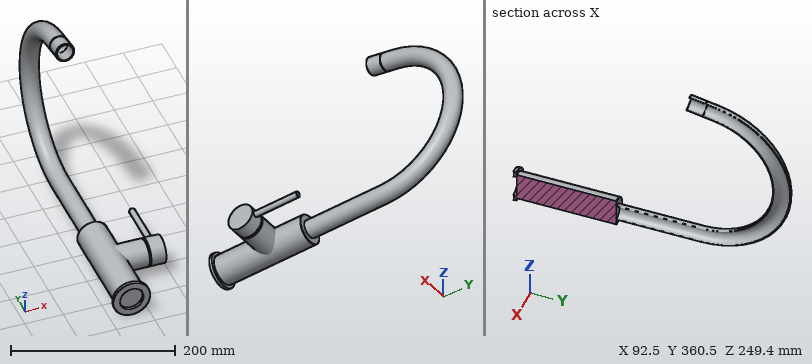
import cadquery as cq
import math


EDGE_CHAMFER = 0.5

FLANGE_DIAMETER = 48.0
FLANGE_THICKNESS = 4.0
RECESS_DIAMETER = 30.5
RECESS_DEPTH = 4.0
BODY_DIAMETER = 40.0
BODY_TOP = 134.0

SPOUT_DIAMETER = 24.0
SPOUT_BORE = 20.5
SPOUT_SOCKET_DEPTH = 20.0
SPOUT_REACH = 360.49
BEND_RADIUS = 104.47
BEND_ANGLE = 170.0
OUTLET_LENGTH = 36.2
AERATOR_LENGTH = 21.0
AERATOR_GROOVE_WIDTH = 0.6
AERATOR_GROOVE_DEPTH = 0.4

ARM_DIAMETER = 36.0
ARM_POSITION = 79.2
ARM_FILLET = 1.0
ARM_END = 68.51
ARM_GROOVE_START = 47.4
ARM_GROOVE_WIDTH = 1.0
ARM_GROOVE_DEPTH = 1.5
ARM_GROOVE_CHAMFER = 0.7

LEVER_DIAMETER = 8.0
LEVER_OFFSET = 61.5
LEVER_TOP = 161.0

BEND_START = SPOUT_REACH - SPOUT_DIAMETER / 2 - BEND_RADIUS


def bend_point(degrees):
    """(Y, Z) point of the spout centreline after the given angle of bend."""
    angle = math.radians(degrees)
    return (BEND_START + BEND_RADIUS * math.sin(angle), BEND_RADIUS * (1 - math.cos(angle)))


OUTLET_DIRECTION = (math.cos(math.radians(BEND_ANGLE)), math.sin(math.radians(BEND_ANGLE)))
BEND_END = bend_point(BEND_ANGLE)


def outlet_plane(distance_from_tip):
    """Plane across the outlet, facing back into the spout."""
    along = OUTLET_LENGTH - distance_from_tip
    dir_y, dir_z = OUTLET_DIRECTION
    origin = (0, BEND_END[0] + along * dir_y, BEND_END[1] + along * dir_z)
    return cq.Plane(origin=origin, xDir=(1, 0, 0), normal=(0, -dir_y, -dir_z))


def cylinder_along_y(diameter, start, end, x=0.0):
    plane = cq.Plane(origin=(x, start, 0), xDir=(1, 0, 0), normal=(0, 1, 0))
    return cq.Workplane(plane).circle(diameter / 2).extrude(end - start)


def cylinder_along_x(diameter, start, end):
    plane = cq.Plane(origin=(start, ARM_POSITION, 0), xDir=(0, 1, 0), normal=(1, 0, 0))
    return cq.Workplane(plane).circle(diameter / 2).extrude(end - start)


def make_body():
    flange = cylinder_along_y(FLANGE_DIAMETER, 0, FLANGE_THICKNESS)
    column = cylinder_along_y(BODY_DIAMETER, FLANGE_THICKNESS, BODY_TOP)
    column = column.faces("<Y or >Y").chamfer(EDGE_CHAMFER)
    recess = cylinder_along_y(RECESS_DIAMETER, 0, RECESS_DEPTH)
    return flange.union(column).cut(recess)


def add_arm_sleeve(body):
    """Join the fixed sleeve of the arm to the body and round the junction."""
    sleeve = cylinder_along_x(ARM_DIAMETER, 0, ARM_GROOVE_START)
    sleeve = sleeve.faces(">X").chamfer(ARM_GROOVE_CHAMFER)
    joined = body.union(sleeve)
    junction_reach = BODY_DIAMETER / 2 + ARM_FILLET
    junction = cq.selectors.BoxSelector(
        (0, ARM_POSITION - ARM_DIAMETER, -ARM_DIAMETER),
        (junction_reach, ARM_POSITION + ARM_DIAMETER, ARM_DIAMETER),
        boundingbox=True,
    )
    return joined.edges(junction).fillet(ARM_FILLET)


def sweep_along_spout(diameter, start):
    """Round bar following the spout centreline from Y = start to the tip."""
    tip = outlet_plane(0).origin
    path = (
        cq.Workplane("YZ")
        .moveTo(start, 0)
        .lineTo(BEND_START, 0)
        .threePointArc(bend_point(BEND_ANGLE / 2), BEND_END)
        .lineTo(tip.y, tip.z)
    )
    section = cq.Plane(origin=(0, start, 0), xDir=(1, 0, 0), normal=(0, 1, 0))
    return cq.Workplane(section).circle(diameter / 2).sweep(path)


def make_aerator_groove():
    return (
        cq.Workplane(outlet_plane(AERATOR_LENGTH))
        .circle(SPOUT_DIAMETER / 2)
        .circle(SPOUT_DIAMETER / 2 - AERATOR_GROOVE_DEPTH)
        .extrude(AERATOR_GROOVE_WIDTH)
    )


def make_spout():
    tube = sweep_along_spout(SPOUT_DIAMETER, BODY_TOP - SPOUT_SOCKET_DEPTH)
    tip_rim = cq.selectors.NearestToPointSelector(outlet_plane(0).origin.toTuple())
    tube = tube.faces(tip_rim).chamfer(EDGE_CHAMFER)
    bore = sweep_along_spout(SPOUT_BORE, BODY_TOP)
    return tube.cut(bore).cut(make_aerator_groove())


def make_arm_cap():
    groove_end = ARM_GROOVE_START + ARM_GROOVE_WIDTH
    neck_diameter = ARM_DIAMETER - 2 * ARM_GROOVE_DEPTH
    neck = cylinder_along_x(neck_diameter, ARM_GROOVE_START, groove_end)
    cap = cylinder_along_x(ARM_DIAMETER, groove_end, ARM_END)
    return cap.faces("<X").chamfer(ARM_GROOVE_CHAMFER).union(neck)


def make_lever():
    lever = cylinder_along_y(LEVER_DIAMETER, ARM_POSITION, LEVER_TOP, x=LEVER_OFFSET)
    return lever.faces(">Y").chamfer(EDGE_CHAMFER)


body = add_arm_sleeve(make_body())
result = body.union(make_spout()).union(make_arm_cap()).union(make_lever())